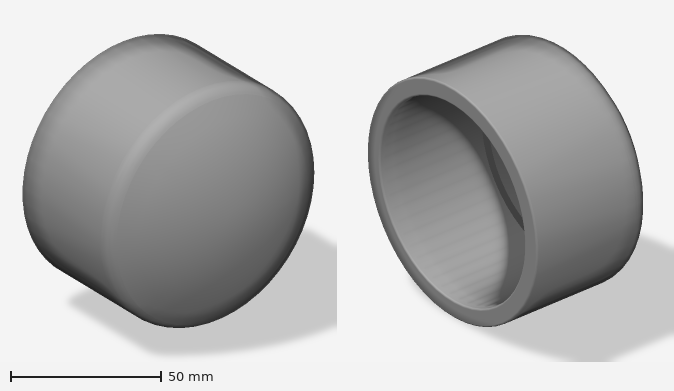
import cadquery as cq
import math

outer_radius = 44.0
total_length = 63.0

wall_length = 42.9
knuckle_radius = 7.0
rim_round = 0.7

socket_radius = 75.0 / 2
socket_depth = 44.3
hollow_radius = 33.8

knuckle_center_r = outer_radius - knuckle_radius
reach = total_length - wall_length
crown_radius = (reach**2 + knuckle_center_r**2 - knuckle_radius**2) / (2 * (reach - knuckle_radius))
crown_center_x = total_length - crown_radius
tangent_angle = math.atan2(knuckle_center_r, wall_length - crown_center_x)
knuckle_mid_angle = (tangent_angle + math.pi / 2) / 2


def arc_point(center_x, center_r, radius, angle):
    """Point on a profile arc, with the angle measured from the +X axis."""
    return (center_x + radius * math.cos(angle), center_r + radius * math.sin(angle))


def revolve_about_x(profile):
    return profile.close().revolve(360, (0, 0, 0), (1, 0, 0))


def make_body():
    profile = (
        cq.Workplane("XY")
        .lineTo(0, outer_radius - rim_round)
        .threePointArc(
            arc_point(rim_round, outer_radius - rim_round, rim_round, math.radians(135)),
            (rim_round, outer_radius),
        )
        .lineTo(wall_length, outer_radius)
        .threePointArc(
            arc_point(wall_length, knuckle_center_r, knuckle_radius, knuckle_mid_angle),
            arc_point(crown_center_x, 0, crown_radius, tangent_angle),
        )
        .threePointArc(
            arc_point(crown_center_x, 0, crown_radius, tangent_angle / 2),
            (total_length, 0),
        )
    )
    return revolve_about_x(profile)


def make_cavity():
    inner_radius = math.hypot(socket_depth - crown_center_x, hollow_radius)
    edge_angle = math.atan2(hollow_radius, socket_depth - crown_center_x)
    profile = (
        cq.Workplane("XY")
        .lineTo(0, socket_radius + rim_round)
        .threePointArc(
            arc_point(rim_round, socket_radius + rim_round, rim_round, math.radians(225)),
            (rim_round, socket_radius),
        )
        .lineTo(socket_depth, socket_radius)
        .lineTo(socket_depth, hollow_radius)
        .threePointArc(
            arc_point(crown_center_x, 0, inner_radius, edge_angle / 2),
            (crown_center_x + inner_radius, 0),
        )
    )
    return revolve_about_x(profile)


result = make_body().cut(make_cavity())